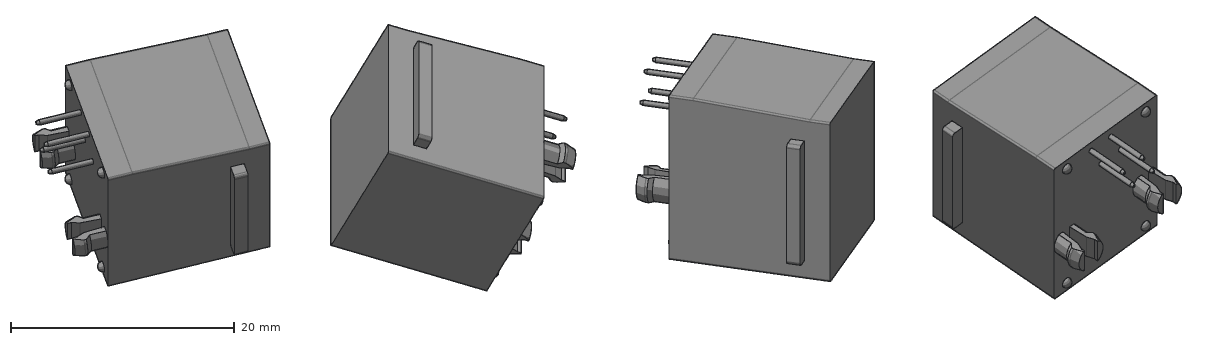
import cadquery as cq


housing_width = 13.25
overall_depth = 19.3
housing_depth = 15.13
front_height = 16.39
back_height = 15.86
slope_start = 2.28
back_ledge = 1.91
edge_radius = 0.17

overall_width = 15.75
bar_thickness = 1.27
bar_front = 11.45
bar_bottom = 1.8
bar_height = 11.95
bar_corner_radius = 0.3

dome_radius = 0.5
feature_offset = 5.05
lower_dome_z = 1.05
upper_dome_z = 15.38

clip_z = 6.5
clip_length = 3.09
clip_thickness = 2.43
clip_shank_radius = 1.55
clip_barb_radius = 1.81
barb_start = 1.55
barb_full = 1.97
barb_taper = 2.2
slot_bend = 1.99
slot_flare_end = 2.7
slot_base_half = 0.45
slot_bend_half = 0.56
slot_tip_half = 0.83

pin_radius = 0.25
pin_length = overall_depth - housing_depth
pin_tip_radius = 0.14
pin_tip_length = 0.3
pin_pitch = 1.25
pin_count = 4
pin_row_spacing = 2 * pin_pitch
upper_row_z = upper_dome_z


def make_block():
    """Housing block with a roof that drops toward the back."""
    side_outline = [
        (0, 0),
        (housing_depth, 0),
        (housing_depth, back_height),
        (housing_depth - back_ledge, back_height),
        (slope_start, front_height),
        (0, front_height),
    ]
    block = cq.Workplane("YZ").polyline(side_outline).close().extrude(housing_width / 2, both=True)
    long_edges = block.faces("<X or >X").edges("not(|Z)")
    return long_edges.fillet(edge_radius)


def make_side_bars():
    """One bar through the block that stands out on both sides."""
    bar = cq.Workplane("XY").box(overall_width, bar_thickness, bar_height, centered=(True, False, False))
    return bar.edges("|Y").fillet(bar_corner_radius).translate((0, bar_front, bar_bottom))


def make_dome(x, z):
    """Standoff dome; its rear half is buried in the block."""
    return cq.Workplane("XY").sphere(dome_radius).translate((x, 0, z))


def make_clip(x):
    """Barbed round post with flats above and below, split by a flared slot."""
    post_outline = [
        (0, 0),
        (clip_shank_radius, 0),
        (clip_shank_radius, -barb_start),
        (clip_barb_radius, -barb_full),
        (clip_barb_radius, -barb_taper),
        (clip_shank_radius, -clip_length),
        (0, -clip_length),
    ]
    post = cq.Workplane("XY").polyline(post_outline).close().revolve(360, (0, 0, 0), (0, 1, 0))
    flats = cq.Workplane("XY").box(3 * clip_barb_radius, 3 * clip_length, clip_thickness)

    slot_side = [
        (slot_base_half, 0),
        (slot_bend_half, -slot_bend),
        (slot_tip_half, -slot_flare_end),
        (slot_tip_half, -clip_length),
    ]
    opposite_side = [(-half, y) for half, y in reversed(slot_side)]
    slot = cq.Workplane("XY").polyline(slot_side + opposite_side).close().extrude(clip_thickness, both=True)
    return post.intersect(flats).cut(slot).translate((x, 0, clip_z))


def make_housing():
    body = make_block().union(make_side_bars())
    for x in (-feature_offset, feature_offset):
        body = body.union(make_clip(x))
        for z in (lower_dome_z, upper_dome_z):
            body = body.union(make_dome(x, z))
    return body


def make_pin(x, z):
    """Round contact pin with a tapered tip, standing on the pin face."""
    outline = [
        (0, 0),
        (pin_radius, 0),
        (pin_radius, pin_tip_length - pin_length),
        (pin_tip_radius, -pin_length),
        (0, -pin_length),
    ]
    pin = cq.Workplane("XY").polyline(outline).close().revolve(360, (0, 0, 0), (0, 1, 0))
    return pin.translate((x, 0, z))


housing = make_housing()

pins = []
for index in range(pin_count):
    pin_x = (index - (pin_count - 1) / 2) * pin_pitch
    pin_z = upper_row_z - (index % 2) * pin_row_spacing
    pins.append(make_pin(pin_x, pin_z))

result = cq.Compound.makeCompound([housing.solids().val(), *[pin.val() for pin in pins]])